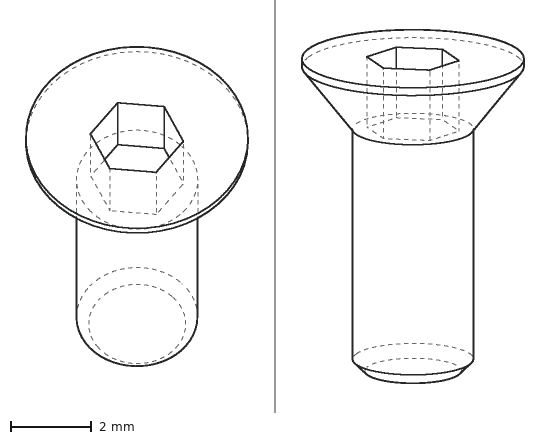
import cadquery as cq
import math

total_length = 8.0
head_diameter = 5.5
head_height = 1.8
rim_height = 0.2
shank_diameter = 3.0
tip_chamfer = 0.3
socket_across_flats = 2.0
socket_depth = head_height


def screw_body():
    """Revolve the half section of the head, shank and chamfered tip."""
    head_radius = head_diameter / 2
    shank_radius = shank_diameter / 2
    half_section = (
        cq.Workplane("XZ")
        .moveTo(0, 0)
        .lineTo(head_radius, 0)
        .lineTo(head_radius, -rim_height)
        .lineTo(shank_radius, -head_height)
        .lineTo(shank_radius, -total_length + tip_chamfer)
        .lineTo(shank_radius - tip_chamfer, -total_length)
        .lineTo(0, -total_length)
        .close()
    )
    return half_section.revolve(360, (0, 0, 0), (0, 1, 0))


def hexagon_socket():
    """Hexagonal prism below the head face, with two flats square to X."""
    across_corners = socket_across_flats / math.cos(math.pi / 6)
    corner_on_y = 90
    return (
        cq.Workplane("XY")
        .polygon(6, across_corners)
        .extrude(-socket_depth)
        .rotate((0, 0, 0), (0, 0, 1), corner_on_y)
    )


result = screw_body().cut(hexagon_socket())